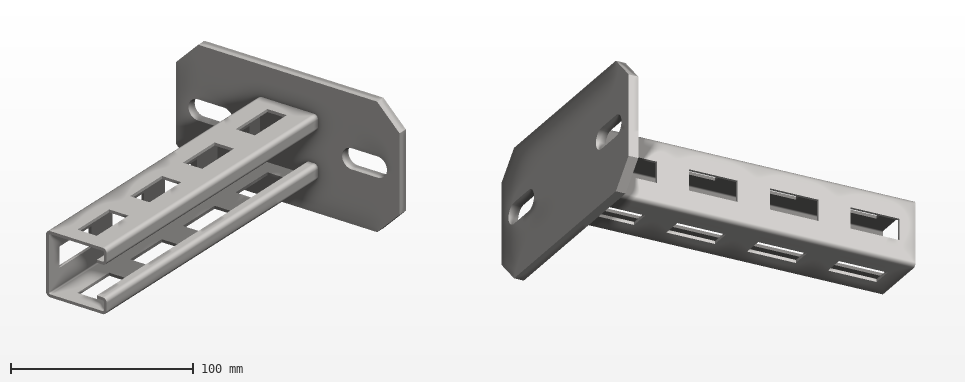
import cadquery as cq

total_length = 206.0

plate_width = 150.0
plate_height = 80.0
plate_thickness = 6.0
corner_cut = 15.0
mount_slot_spacing = 103.0

slot_length = 30.0
slot_width = 13.0

channel_size = 40.5
sheet_thickness = 1.9
bend_radius = 2.7
lip_gap = 20.0
lip_length = 6.5
channel_slot_count = 4
end_margin = 10.0

channel_length = total_length - plate_thickness
inner_bend_radius = bend_radius - sheet_thickness
channel_slot_pitch = (channel_length - 2 * end_margin - slot_length) / (channel_slot_count - 1)


def make_plate():
    """Plate with cut corners and two mounting slots; the channel meets it at Y = 0."""
    blank = cq.Workplane("XZ").rect(plate_width, plate_height).extrude(-plate_thickness)
    blank = blank.edges("|Y").chamfer(corner_cut)
    mount_slots = (
        cq.Workplane("XZ")
        .pushPoints([(-mount_slot_spacing / 2, 0), (mount_slot_spacing / 2, 0)])
        .slot2D(slot_length, slot_width)
        .extrude(-plate_thickness)
    )
    return blank.cut(mount_slots)


def sheet_face(depth):
    """(X, Z) corners of the sheet surface at a depth below its outer face, lip edge to lip edge."""
    lip_edge = channel_size / 2 - lip_length
    side = channel_size / 2 - depth
    lip = lip_gap / 2 + depth
    upper_half = [(lip_edge, lip), (side, lip), (side, side), (-side, side)]
    lower_half = [(x, -z) for x, z in reversed(upper_half)]
    return upper_half + lower_half


def round_bends(body, face_corners, radius):
    """Round the bend edges at the given corners; the first and last are the square lip edges."""
    for x, z in face_corners[1:-1]:
        bend_edge = cq.selectors.NearestToPointSelector((x, -channel_length / 2, z))
        body = body.edges("|Y").edges(bend_edge).fillet(radius)
    return body


def bent_channel():
    """C-channel whose two lips turn back into it on the open side."""
    outer_face = sheet_face(0)
    inner_face = sheet_face(sheet_thickness)
    section = outer_face + inner_face[::-1]
    body = cq.Workplane("XZ").polyline(section).close().extrude(channel_length)
    body = round_bends(body, outer_face, bend_radius)
    return round_bends(body, inner_face, inner_bend_radius)


def make_channel():
    """Bent channel with a row of slots through the web and through both flanges."""
    body = bent_channel()
    flange_slot = cq.Workplane("XY").box(slot_width, slot_length, channel_size)
    web_slot = cq.Workplane("XY").box(2 * sheet_thickness, slot_length, slot_width)
    for index in range(channel_slot_count):
        slot_y = -(end_margin + slot_length / 2 + index * channel_slot_pitch)
        body = body.cut(flange_slot.translate((0, slot_y, 0)))
        body = body.cut(web_slot.translate((-channel_size / 2, slot_y, 0)))
    return body


plate = make_plate().solids()
channel = make_channel().solids()

result = cq.Compound.makeCompound([plate.val(), channel.val()])